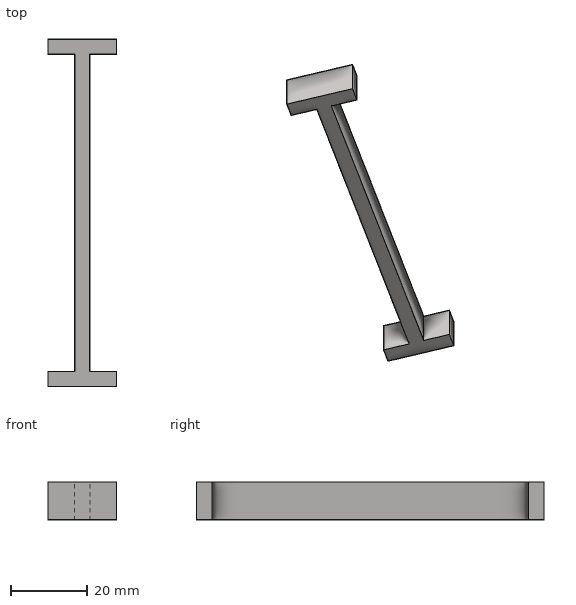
import cadquery as cq

flange_width = 18.0
total_length = 91.0
height = 10.0
flange_thickness = 4.0
web_thickness = 4.0


def make_web():
    """Central bar running the full length between the outer flange faces."""
    return cq.Workplane("XY").box(web_thickness, total_length, height)


def make_flange(side):
    """Cross plate at one end of the web; side is -1 or +1 along Y."""
    center_y = side * (total_length - flange_thickness) / 2
    flange = cq.Workplane("XY").box(flange_width, flange_thickness, height)
    return flange.translate((0, center_y, 0))


result = make_web()
for end_side in (-1, 1):
    result = result.union(make_flange(end_side))
result = result.clean()